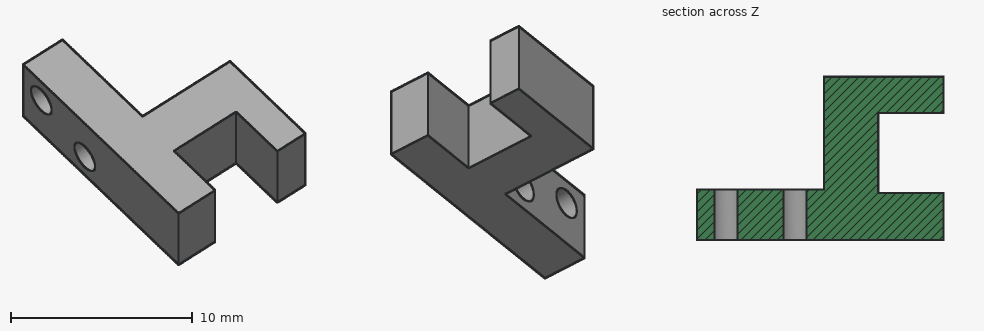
import cadquery as cq

length = 13.6
depth = 9.0
height = 4.5

bar_depth = 2.8
web_left = 7.0
web_right = 10.0
slot_front = 2.6
slot_back = 7.0

hole_diameter = 1.8
hole_centers = [(1.6, 2.9), (5.4, 1.6)]


def make_body():
    """Extrude the plan outline, with the front left bottom corner at the origin."""
    outline = [
        (0, 0),
        (length, 0),
        (length, slot_front),
        (web_right, slot_front),
        (web_right, slot_back),
        (length, slot_back),
        (length, depth),
        (web_left, depth),
        (web_left, bar_depth),
        (0, bar_depth),
    ]
    return cq.Workplane("XY").polyline(outline).close().extrude(height)


def make_holes():
    """Cylinders along Y that cross the full depth of the base bar."""
    return (
        cq.Workplane("XZ")
        .pushPoints(hole_centers)
        .circle(hole_diameter / 2)
        .extrude(-bar_depth)
    )


result = make_body().cut(make_holes())